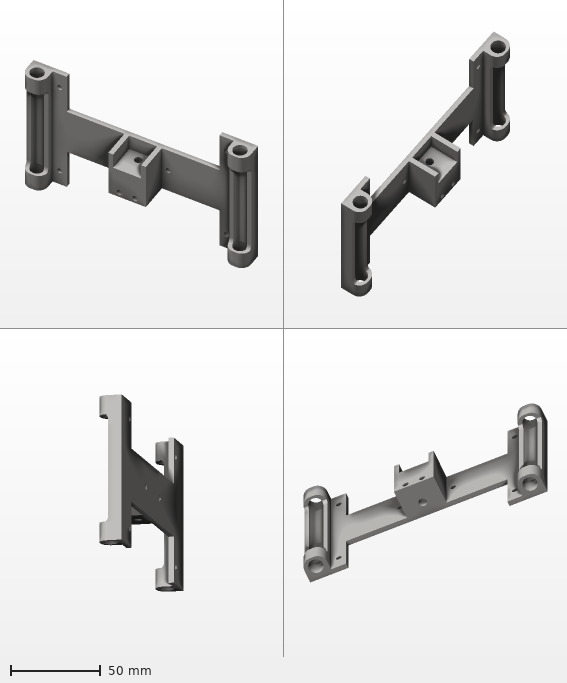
import cadquery as cq


LENGTH = 144.0
HEIGHT = 82.5
DEPTH = 21.0
PLATE_THICKNESS = 3.0
WEB_HEIGHT = 30.1

FLANGE_WIDTH = 23.0
HOLDER_WIDTH = 14.0
HOLDER_DEPTH = 14.1
HOLDER_CORNER_RADIUS = 5.9
HOLDER_X = (LENGTH - HOLDER_WIDTH) / 2
BORE_DIAMETER = 8.6
BORE_DEPTH = 8.2
COLLAR_HEIGHT = 10.8
LEDGE_DEPTH = 7.8
LEDGE_CURVE_LENGTH = 3.0
LEDGE_CURVE_RISE = 1.5
TROUGH_FLOOR_DEPTH = 4.6
OPEN_HEIGHT = HEIGHT - 2 * COLLAR_HEIGHT

BLOCK_WIDTH = 24.0
POCKET_WIDTH = 17.9
POCKET_HEIGHT = 10.0
VERTICAL_HOLE_DIAMETER = 4.8
VERTICAL_HOLE_DEPTH = 8.5
SCREW_HOLE_DIAMETER = 3.5
SCREW_HOLE_LENGTH = 10.0
SCREW_HOLE_X = 5.0
SCREW_HOLE_EDGE_DISTANCE = 3.3

MOUNT_HOLE_DIAMETER = 3.3
FLANGE_HOLE_X = 53.4
FLANGE_HOLE_Z = 31.2
WEB_HOLE_X = 16.0


def slab(width, back, front, height, x=0):
    """Box centred on x and z = 0, between two depths measured from the back face."""
    return cq.Workplane("XY").box(width, front - back, height).translate((x, -(back + front) / 2, 0))


def front_holes(points, diameter, start, length):
    """Round pins running toward +Y from the given depth, used to cut holes."""
    plane = cq.Workplane("XZ", origin=(0, -start, 0))
    return plane.pushPoints(points).circle(diameter / 2).extrude(-length)


def trough_opening():
    """Cutter between the collars; its ledge curves outward to meet each collar face."""
    ledge_end = OPEN_HEIGHT / 2 - LEDGE_CURVE_LENGTH
    collar_face = OPEN_HEIGHT / 2
    curve_top = LEDGE_DEPTH + LEDGE_CURVE_RISE
    profile = (
        cq.Workplane("YZ")
        .moveTo(-LEDGE_DEPTH, 0)
        .lineTo(-LEDGE_DEPTH, ledge_end)
        .tangentArcPoint((-curve_top, collar_face), relative=False)
        .lineTo(-HOLDER_DEPTH, collar_face)
        .lineTo(-HOLDER_DEPTH, 0)
        .close()
    )
    upper_half = profile.extrude(HOLDER_WIDTH / 2, both=True)
    return upper_half.union(upper_half.mirror("XY"))


def rod_holder(x):
    """Bored rail with a full collar at each end and an open trough between them."""
    body = slab(HOLDER_WIDTH, 0, HOLDER_DEPTH, HEIGHT, x)
    body = body.edges("|Z and <Y").fillet(HOLDER_CORNER_RADIUS)
    bore = cq.Workplane("XY").center(x, -BORE_DEPTH).circle(BORE_DIAMETER / 2).extrude(HEIGHT / 2, both=True)
    opening = trough_opening().translate((x, 0, 0))
    floor = slab(BORE_DIAMETER, 0, TROUGH_FLOOR_DEPTH, OPEN_HEIGHT, x)
    return body.cut(bore).cut(opening).union(floor)


def central_block():
    """Block with an open-topped pocket, a vertical hole and two blind screw holes."""
    block = slab(BLOCK_WIDTH, 0, DEPTH, WEB_HEIGHT)
    pocket = slab(POCKET_WIDTH, PLATE_THICKNESS, DEPTH, POCKET_HEIGHT)
    pocket = pocket.translate((0, 0, (WEB_HEIGHT - POCKET_HEIGHT) / 2))
    vertical_hole = cq.Workplane("XY").center(0, -VERTICAL_HOLE_DEPTH)
    vertical_hole = vertical_hole.circle(VERTICAL_HOLE_DIAMETER / 2).extrude(WEB_HEIGHT / 2, both=True)
    screw_z = SCREW_HOLE_EDGE_DISTANCE - WEB_HEIGHT / 2
    screw_points = [(side * SCREW_HOLE_X, screw_z) for side in (-1, 1)]
    screw_holes = front_holes(screw_points, SCREW_HOLE_DIAMETER, DEPTH, SCREW_HOLE_LENGTH)
    return block.cut(pocket).cut(vertical_hole).cut(screw_holes)


result = slab(LENGTH - 2 * HOLDER_WIDTH, 0, PLATE_THICKNESS, WEB_HEIGHT)
result = result.union(central_block())
mount_points = []
for side in (-1, 1):
    flange_x = side * (LENGTH / 2 - HOLDER_WIDTH - (FLANGE_WIDTH - HOLDER_WIDTH) / 2)
    flange = slab(FLANGE_WIDTH - HOLDER_WIDTH, 0, PLATE_THICKNESS, HEIGHT, flange_x)
    result = result.union(flange).union(rod_holder(side * HOLDER_X))
    mount_points.append((side * WEB_HOLE_X, 0))
    mount_points.append((side * FLANGE_HOLE_X, FLANGE_HOLE_Z))
    mount_points.append((side * FLANGE_HOLE_X, -FLANGE_HOLE_Z))

result = result.cut(front_holes(mount_points, MOUNT_HOLE_DIAMETER, PLATE_THICKNESS, PLATE_THICKNESS))